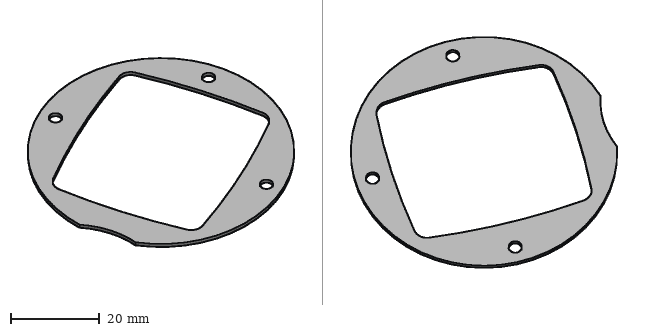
import cadquery as cq
import math

outer_radius = 30.0
thickness = 1.0

hole_diameter = 3.0
hole_circle_radius = 26.0

window_half_width = 19.5
window_half_height = 21.45
window_side_radius = 155.9
window_corner_radius = 3.0

notch_radius = 21.0
notch_top_y = -28.0


def disc(radius, x=0, y=0):
    return cq.Workplane("XY").center(x, y).circle(radius).extrude(thickness)


def bowed_window():
    """Common area of four large discs, each forming one side of the window."""
    offset_x = window_side_radius - window_half_width
    offset_y = window_side_radius - window_half_height
    window = disc(window_side_radius, offset_x)
    window = window.intersect(disc(window_side_radius, -offset_x))
    window = window.intersect(disc(window_side_radius, 0, offset_y))
    window = window.intersect(disc(window_side_radius, 0, -offset_y))
    return window.edges("|Z").fillet(window_corner_radius)


plate = disc(outer_radius)
plate = plate.cut(bowed_window())

for angle in (0, 90, 180):
    hole_x = hole_circle_radius * math.cos(math.radians(angle))
    hole_y = hole_circle_radius * math.sin(math.radians(angle))
    plate = plate.cut(disc(hole_diameter / 2, hole_x, hole_y))

result = plate.cut(disc(notch_radius, 0, notch_top_y - notch_radius))